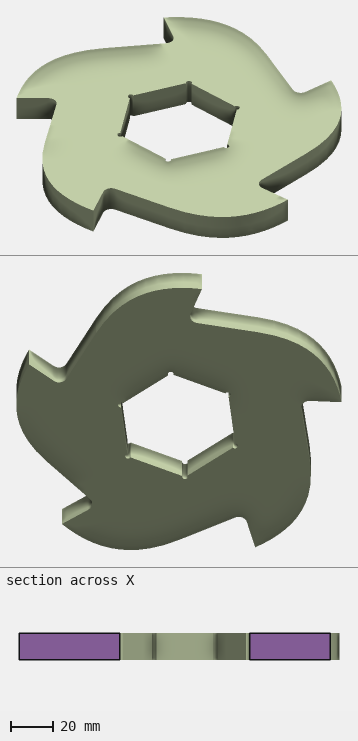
import math

import cadquery as cq

thickness = 12.7

tooth_count = 5
tooth_pitch = 360 / tooth_count
tip_radius = 78.85
tip_angle = -51.13
flank_angle = -31.1
flank_offset = 59.3
flank_end = 27.85
crown_handle = 23.3
cutting_angle = 141.4
valley_radius = 4.0

hex_sides = 6
hex_across_flats = 51.5
hex_corner_radius = hex_across_flats / 2 / math.cos(math.pi / hex_sides)
relief_diameter = 2.8
relief_center_radius = 29.5


def polar(distance, angle):
    """Vector of the given length and direction in degrees."""
    return cq.Vector(
        distance * math.cos(math.radians(angle)),
        distance * math.sin(math.radians(angle)),
    )


def rotate(point, angle):
    """Point turned about the Z axis."""
    return polar(point.Length, math.degrees(math.atan2(point.y, point.x)) + angle)


def crown_points():
    """Bezier poles of the crown: tangent to the flank, symmetric about its chord."""
    start = polar(flank_offset, flank_angle - 90) + polar(flank_end, flank_angle)
    tip = polar(tip_radius, tip_angle)
    chord = tip - start
    chord_angle = math.degrees(math.atan2(chord.y, chord.x))
    end_angle = 2 * chord_angle - flank_angle
    return [
        start,
        start + polar(crown_handle, flank_angle),
        tip - polar(crown_handle, end_angle),
        tip,
    ]


def valley_points(tip):
    """Start, middle and end of the fillet that joins the face below a tip to the next flank."""
    next_flank_angle = flank_angle + tooth_pitch
    face_angle = cutting_angle - 180
    flank_normal = polar(1, next_flank_angle - 90)

    inward = polar(1, cutting_angle)
    face_length = (flank_offset - tip.dot(flank_normal)) / inward.dot(flank_normal)
    corner = tip + inward * face_length

    half_opening = math.radians(next_flank_angle - face_angle) / 2
    setback = valley_radius / math.tan(half_opening)
    middle_gap = valley_radius / math.sin(half_opening) - valley_radius
    return [
        corner + polar(setback, face_angle),
        corner + polar(middle_gap, (face_angle + next_flank_angle) / 2),
        corner + polar(setback, next_flank_angle),
    ]


def make_blank():
    """Toothed plate without the bore."""
    crown = crown_points()
    valley = valley_points(crown[-1])
    outline = cq.Workplane("XY").moveTo(crown[0].x, crown[0].y)
    for index in range(tooth_count):
        turn = index * tooth_pitch
        outline = outline.bezier([rotate(p, turn) for p in crown])
        face_end, valley_middle, flank_start = [rotate(p, turn) for p in valley]
        next_crown_start = rotate(crown[0], turn + tooth_pitch)
        outline = outline.lineTo(face_end.x, face_end.y)
        outline = outline.threePointArc(valley_middle.toTuple()[:2], flank_start.toTuple()[:2])
        outline = outline.lineTo(next_crown_start.x, next_crown_start.y)
    return outline.close().extrude(thickness)


def make_bore():
    """Hexagonal bore, two corners on the Y axis, with a round relief at each corner."""
    corner_angle = 180 / hex_sides
    hexagon = (
        cq.Workplane("XY")
        .polygon(hex_sides, 2 * hex_corner_radius)
        .extrude(thickness)
        .rotate((0, 0, 0), (0, 0, 1), corner_angle)
    )
    reliefs = (
        cq.Workplane("XY")
        .polarArray(relief_center_radius, corner_angle, 360, hex_sides)
        .circle(relief_diameter / 2)
        .extrude(thickness)
    )
    return hexagon.union(reliefs)


result = make_blank().cut(make_bore())